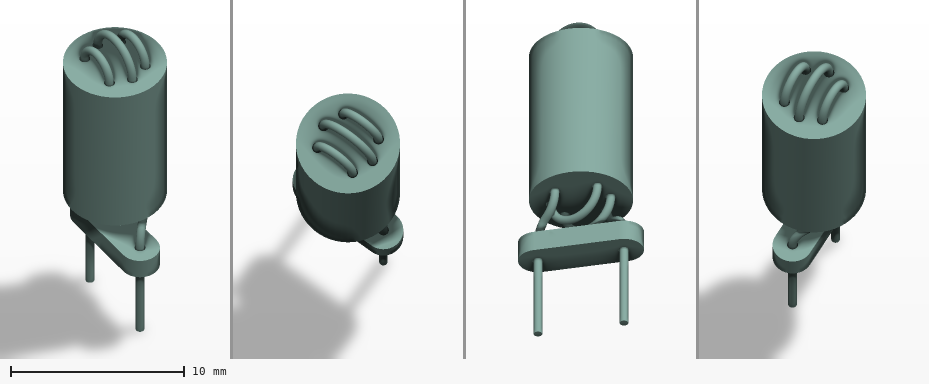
import cadquery as cq
import math

WIRE_DIAMETER = 0.5
LEAD_PITCH = 5.08
LEAD_LENGTH = 5.08

PLATE_LENGTH = 7.38
PLATE_WIDTH = PLATE_LENGTH - LEAD_PITCH
PLATE_THICKNESS = 1.27
PLATE_HOLE_DIAMETER = 0.63

CORE_DIAMETER = 6.0
CORE_HEIGHT = 10.0
CORE_GAP = 2.55
CORE_HOLE_DIAMETER = 0.63
MIDDLE_HOLE_X = 1.75
OUTER_HOLE_X = 1.25
OUTER_HOLE_Y = 1.25

PLATE_BOTTOM = LEAD_LENGTH
PLATE_TOP = PLATE_BOTTOM + PLATE_THICKNESS
CORE_BOTTOM = PLATE_TOP + CORE_GAP
CORE_TOP = CORE_BOTTOM + CORE_HEIGHT

LEAD_POINTS = [(-LEAD_PITCH / 2, 0), (LEAD_PITCH / 2, 0)]

WINDING_HOLES = [
    (-OUTER_HOLE_X, -OUTER_HOLE_Y),
    (OUTER_HOLE_X, -OUTER_HOLE_Y),
    (-MIDDLE_HOLE_X, 0),
    (MIDDLE_HOLE_X, 0),
    (-OUTER_HOLE_X, OUTER_HOLE_Y),
    (OUTER_HOLE_X, OUTER_HOLE_Y),
]


def make_core():
    """Round core with six through holes."""
    blank = cq.Workplane("XY", origin=(0, 0, CORE_BOTTOM)).circle(CORE_DIAMETER / 2).extrude(CORE_HEIGHT)
    return blank.faces(">Z").workplane().pushPoints(WINDING_HOLES).hole(CORE_HOLE_DIAMETER)


def make_plate():
    """Slot-shaped plate with a through hole for each lead."""
    blank = (
        cq.Workplane("XY", origin=(0, 0, PLATE_BOTTOM))
        .slot2D(PLATE_LENGTH, PLATE_WIDTH)
        .extrude(PLATE_THICKNESS)
    )
    return blank.faces(">Z").workplane().pushPoints(LEAD_POINTS).hole(PLATE_HOLE_DIAMETER)


def at_level(point, z):
    return cq.Vector(point[0], point[1], z)


def straight(point, z_start, z_end):
    """Vertical run of wire."""
    return [cq.Edge.makeLine(at_level(point, z_start), at_level(point, z_end))]


def half_loop(start, end, z, direction):
    """Semicircle between two holes, rising (direction 1) or hanging (direction -1)."""
    radius = math.dist(start, end) / 2
    middle = ((start[0] + end[0]) / 2, (start[1] + end[1]) / 2)
    crest = at_level(middle, z + direction * radius)
    return [cq.Edge.makeThreePointArc(at_level(start, z), crest, at_level(end, z))]


def s_bend(start, z_start, end, z_end):
    """Two equal tangent arcs, vertical at both ends."""
    middle = (at_level(start, z_start) + at_level(end, z_end)) * 0.5
    up = cq.Vector(0, 0, math.copysign(1, z_end - z_start))
    first = cq.Edge.makeTangentArc(at_level(start, z_start), up, middle)
    second = cq.Edge.makeTangentArc(middle, first.tangentAt(1), at_level(end, z_end))
    return [first, second]


def make_wire():
    """One continuous wire from lead tip to lead tip, wound through every core hole."""
    first_lead, last_lead = LEAD_POINTS
    path = straight(first_lead, 0, PLATE_TOP)
    path += s_bend(first_lead, PLATE_TOP, WINDING_HOLES[0], CORE_BOTTOM)

    last_index = len(WINDING_HOLES) - 1
    for index, hole in enumerate(WINDING_HOLES):
        goes_up = index % 2 == 0
        if goes_up:
            path += straight(hole, CORE_BOTTOM, CORE_TOP)
            path += half_loop(hole, WINDING_HOLES[index + 1], CORE_TOP, 1)
        else:
            path += straight(hole, CORE_TOP, CORE_BOTTOM)
            if index < last_index:
                path += half_loop(hole, WINDING_HOLES[index + 1], CORE_BOTTOM, -1)

    path += s_bend(WINDING_HOLES[-1], CORE_BOTTOM, last_lead, PLATE_TOP)
    path += straight(last_lead, PLATE_TOP, 0)

    centreline = cq.Workplane(obj=cq.Wire.assembleEdges(path))
    section = cq.Workplane("XY").center(*first_lead).circle(WIRE_DIAMETER / 2)
    return section.sweep(centreline)


core = make_core()
plate = make_plate()
wire = make_wire()

result = cq.Compound.makeCompound([core.val(), plate.val(), wire.val()])